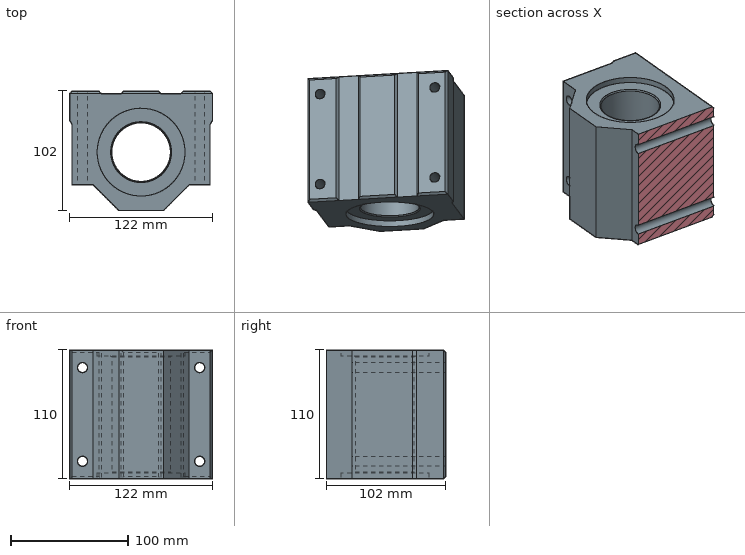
import cadquery as cq
import math

length = 110.0
flange_width = 122.0
body_width = 118.0
axis_to_nose = 50.0
axis_to_mounting_face = 52.0

pad_height = 2.0
flange_depth = 23.0
flange_bevel_angle = 30.0
nose_width = 38.0
nose_depth = 22.0

outer_pad_width = 27.0
centre_pad_width = 34.0
pad_taper = 45.0

bore_diameter = 50.0
bore_chamfer = 1.0
recess_diameter = 75.0
recess_depth = 5.0

screw_diameter = 8.4
screw_spacing_x = 100.0
screw_spacing_z = 80.0

nose_y = -axis_to_nose
shoulder_y = nose_y + nose_depth
pad_base_y = axis_to_mounting_face - pad_height
flange_bottom_y = pad_base_y - flange_depth
flange_step = (flange_width - body_width) / 2
flange_bevel_depth = flange_step / math.tan(math.radians(flange_bevel_angle))
bevel_bottom_y = flange_bottom_y - flange_bevel_depth


def make_body():
    """Constant cross-section housing: flange, body and a 45 degree tapered nose."""
    nose_half = nose_width / 2
    right_side = [
        (nose_half, nose_y),
        (nose_half + nose_depth, shoulder_y),
        (body_width / 2, shoulder_y),
        (body_width / 2, bevel_bottom_y),
        (flange_width / 2, flange_bottom_y),
        (flange_width / 2, pad_base_y),
    ]
    left_side = [(-x, y) for x, y in reversed(right_side)]
    return (
        cq.Workplane("XY")
        .polyline(right_side + left_side)
        .close()
        .extrude(length / 2, both=True)
    )


def make_pad(centre_x, width):
    """Full-length raised pad whose four sides slope inwards."""
    return (
        cq.Workplane("XZ", origin=(centre_x, pad_base_y, 0))
        .rect(width, length)
        .extrude(-pad_height, taper=pad_taper)
    )


def make_bearing_bore():
    """Through bore with chamfered rims, opening into an equal recess at each end."""
    bore_radius = bore_diameter / 2
    rim_radius = bore_radius + bore_chamfer
    recess_radius = recess_diameter / 2
    end_z = length / 2
    floor_z = end_z - recess_depth
    upper_half = [
        (bore_radius, floor_z - bore_chamfer),
        (rim_radius, floor_z),
        (recess_radius, floor_z),
        (recess_radius, end_z),
        (0, end_z),
    ]
    lower_half = [(r, -z) for r, z in reversed(upper_half)]
    return (
        cq.Workplane("XZ")
        .polyline(upper_half + lower_half)
        .close()
        .revolve(360, (0, 0, 0), (0, 1, 0))
    )


def make_screw_holes():
    """Four through holes parallel to Y."""
    return (
        cq.Workplane("XZ", origin=(0, axis_to_mounting_face, 0))
        .rect(screw_spacing_x, screw_spacing_z, forConstruction=True)
        .vertices()
        .circle(screw_diameter / 2)
        .extrude(axis_to_mounting_face + axis_to_nose)
    )


outer_pad_x = (flange_width - outer_pad_width) / 2
pads = [
    (-outer_pad_x, outer_pad_width),
    (0, centre_pad_width),
    (outer_pad_x, outer_pad_width),
]

result = make_body()
for pad_x, pad_width in pads:
    result = result.union(make_pad(pad_x, pad_width))
result = result.cut(make_bearing_bore()).cut(make_screw_holes())